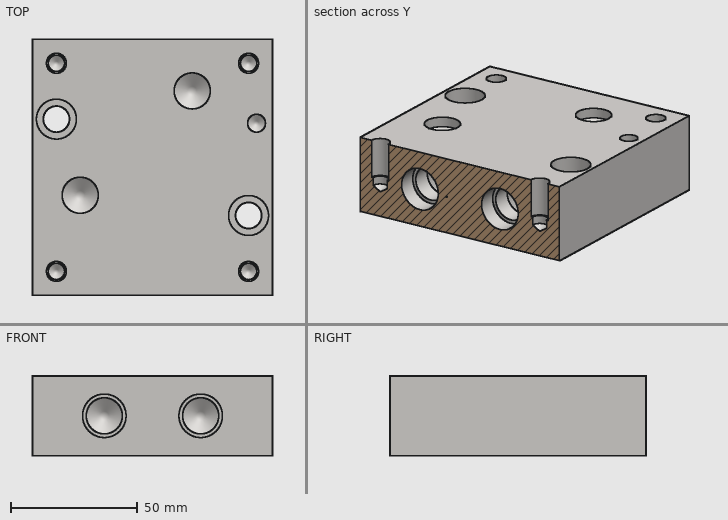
import cadquery as cq
import math

WIDTH = 95.3
LENGTH = 101.6
HEIGHT = 31.7
TOP = HEIGHT / 2
FRONT = -LENGTH / 2

DRILL_POINT_ANGLE = 118

CORNER_X = 38.1
CORNER_Y = 41.2
CORNER_THREAD_DIAMETER = 7.9
CORNER_THREAD_DEPTH = 15.7
CORNER_DRILL_DIAMETER = 6.5
CORNER_DRILL_DEPTH = 19.1

BOLT_Y = 19.1
BOLT_DIAMETER = 10.3
BOLT_HEAD_DIAMETER = 15.8
BOLT_HEAD_DEPTH = 12.7

PORT_DIAMETER = 14.3
TOP_PORT_DEPTH = 4.1
TOP_PORT_CENTRES = [(15.7, 30.3), (-28.7, -11.1)]

PIN_DIAMETER = 7.1
PIN_DEPTH = 8.1
PIN_CENTRE = (41.2, 17.5)

FRONT_PORT_X = 19.1
FRONT_PORT_THREAD_DIAMETER = 17.3
FRONT_PORT_THREAD_DEPTH = 17.3
FRONT_PORT_DRILL_DEPTH = 25.4


def bore(face, diameter, depth):
    """Flat-bottomed bore running into the block from the origin of a face plane."""
    return cq.Workplane(face).circle(diameter / 2).extrude(-depth)


def drilled_bore(face, diameter, depth):
    """Bore of full diameter to the given depth, ending in a drill-point cone."""
    radius = diameter / 2
    point_length = radius / math.tan(math.radians(DRILL_POINT_ANGLE / 2))
    point = cq.Solid.makeCone(
        radius, 0, point_length, pnt=face.toWorldCoords((0, 0, -depth)), dir=-face.zDir
    )
    return bore(face, diameter, depth).union(point)


def top_face(x, y):
    return cq.Plane(origin=(x, y, TOP), xDir=(1, 0, 0), normal=(0, 0, 1))


def front_face(x):
    return cq.Plane(origin=(x, FRONT, 0), xDir=(1, 0, 0), normal=(0, -1, 0))


result = cq.Workplane("XY").box(WIDTH, LENGTH, HEIGHT)

for x in (-CORNER_X, CORNER_X):
    for y in (-CORNER_Y, CORNER_Y):
        face = top_face(x, y)
        result = result.cut(bore(face, CORNER_THREAD_DIAMETER, CORNER_THREAD_DEPTH))
        result = result.cut(drilled_bore(face, CORNER_DRILL_DIAMETER, CORNER_DRILL_DEPTH))

for x, y in ((-CORNER_X, BOLT_Y), (CORNER_X, -BOLT_Y)):
    face = top_face(x, y)
    result = result.cut(bore(face, BOLT_DIAMETER, HEIGHT))
    result = result.cut(bore(face, BOLT_HEAD_DIAMETER, BOLT_HEAD_DEPTH))

for x, y in TOP_PORT_CENTRES:
    result = result.cut(drilled_bore(top_face(x, y), PORT_DIAMETER, TOP_PORT_DEPTH))

result = result.cut(drilled_bore(top_face(*PIN_CENTRE), PIN_DIAMETER, PIN_DEPTH))

for x in (-FRONT_PORT_X, FRONT_PORT_X):
    face = front_face(x)
    result = result.cut(bore(face, FRONT_PORT_THREAD_DIAMETER, FRONT_PORT_THREAD_DEPTH))
    result = result.cut(drilled_bore(face, PORT_DIAMETER, FRONT_PORT_DRILL_DEPTH))